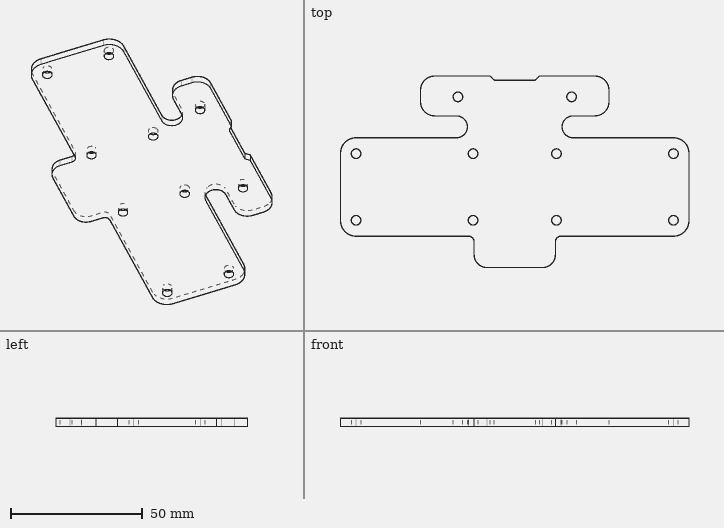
import cadquery as cq

thickness = 3.2
hole_diameter = 3.6

body_length = 132.6
body_width = 37.5
body_corner_radius = 6.0

tab_width = 31.0
tab_height = 12.0
tab_corner_radius = 5.0
tab_root_radius = 2.0

head_length = 71.8
total_width = 73.0
head_width = 15.3
head_corner_radius = 5.5
neck_width = 36.1

notch_mouth = 18.8
notch_floor = 15.7
notch_depth = 1.6

outer_hole_spacing = 120.7
inner_hole_spacing = 31.7
body_hole_row_spacing = 25.3
head_hole_spacing = 43.2
head_hole_inset = 8.0

body_bottom = tab_height
body_top = body_bottom + body_width
body_middle = body_bottom + body_width / 2
head_bottom = total_width - head_width
slot_radius = (head_bottom - body_top) / 2


def block(length, y_low, y_high):
    """Plate-thick rectangle centred on X = 0 between two Y levels."""
    return (
        cq.Workplane("XY")
        .center(0, (y_low + y_high) / 2)
        .rect(length, y_high - y_low)
        .extrude(thickness)
    )


def corners(length, y):
    """Selector for the pair of vertical edges at X = +-length / 2 on level y."""
    margin = 0.01
    selector = None
    for x in (-length / 2, length / 2):
        box = cq.selectors.BoxSelector(
            (x - margin, y - margin, -margin),
            (x + margin, y + margin, thickness + margin),
        )
        selector = box if selector is None else selector + box
    return selector


body = block(body_length, body_bottom, body_top).edges("|Z").fillet(body_corner_radius)
tab = block(tab_width, 0, body_middle).edges(corners(tab_width, 0)).fillet(tab_corner_radius)
head = block(head_length, head_bottom, total_width).edges("|Z").fillet(head_corner_radius)
plate = body.union(tab).union(head)
plate = plate.edges(corners(tab_width, body_bottom)).edges("|Z").fillet(tab_root_radius)

slot_middle = (body_top + head_bottom) / 2
slot_centre_x = neck_width / 2 + slot_radius
slot_ends = (
    cq.Workplane("XY")
    .pushPoints([(-slot_centre_x, slot_middle), (slot_centre_x, slot_middle)])
    .circle(slot_radius)
    .extrude(thickness)
)
neck = block(2 * slot_centre_x, body_top, head_bottom).cut(slot_ends)
plate = plate.union(neck)

notch = (
    cq.Workplane("XY")
    .polyline([
        (-notch_mouth / 2, total_width),
        (-notch_floor / 2, total_width - notch_depth),
        (notch_floor / 2, total_width - notch_depth),
        (notch_mouth / 2, total_width),
    ])
    .close()
    .extrude(thickness)
)
plate = plate.cut(notch)

hole_points = []
for side in (-1, 1):
    hole_points.append((side * head_hole_spacing / 2, total_width - head_hole_inset))
    for spacing in (outer_hole_spacing, inner_hole_spacing):
        for row in (-1, 1):
            y = body_middle + row * body_hole_row_spacing / 2
            hole_points.append((side * spacing / 2, y))
holes = cq.Workplane("XY").pushPoints(hole_points).circle(hole_diameter / 2).extrude(thickness)

result = plate.cut(holes)